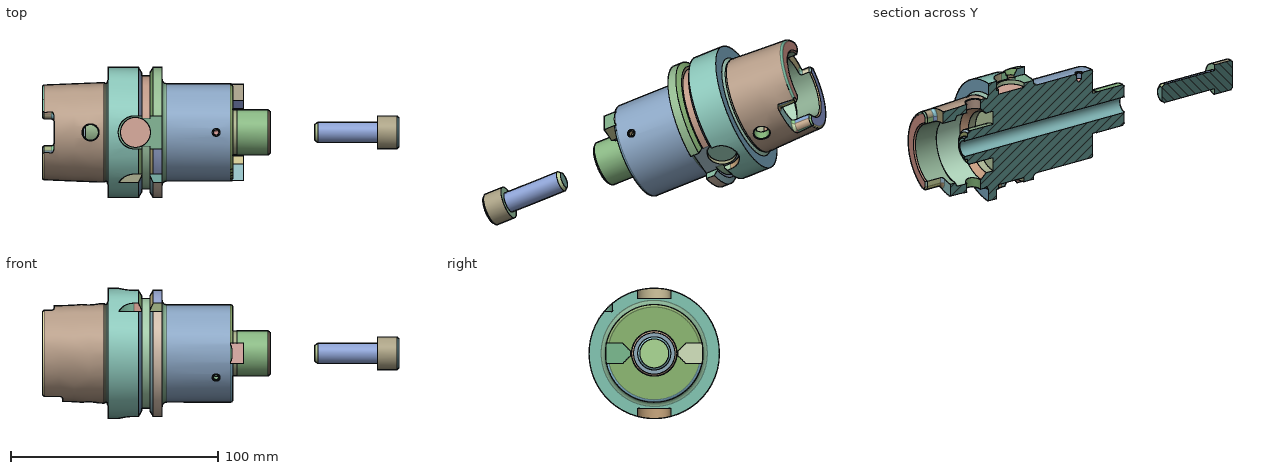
import cadquery as cq
import math

TOTAL_LENGTH = 172.0

SHANK_LENGTH = 31.6
SHANK_SMALL_RADIUS = 22.9
SHANK_LARGE_RADIUS = 24.0
SHANK_FILLET = 1.0
RELIEF_WIDTH = 1.9
RELIEF_DEPTH = 0.7
RELIEF_SHOULDER_RADIUS = 25.3
RELIEF_SHOULDER_LENGTH = 0.9

FLANGE_RADIUS = 31.5
FLANGE_LENGTH = 26.1
GROOVE_BOTTOM_RADIUS = 27.3
GROOVE_FLANK_RADIUS = 28.7
GROOVE_CENTER = 49.9
GROOVE_BOTTOM_WIDTH = 3.8
GROOVE_MOUTH_WIDTH = 7.0

BODY_RADIUS = 23.5
BODY_END = 91.8
BODY_FILLET = 2.0
BODY_END_FILLET = 1.2
PILOT_RADIUS = 11.0
PILOT_LENGTH = 18.0
PILOT_CHAMFER = 1.0
UNDERCUT_RADIUS = 10.8
UNDERCUT_WIDTH = 1.9

MOUTH_RADIUS = 17.4
BORE_RADIUS = 16.7
BORE_LENGTH = 12.7
CLAMP_ANGLE = 60.0
CLAMP_RADIUS = 18.7
CLAMP_END = 27.5
CAVITY_RADIUS = 15.8
CAVITY_DEPTH = 34.4

BOSS_RADIUS = 9.03
BOSS_END = 19.8
BOSS_CHAMFER = 1.0
BOSS_TIP_RADIUS = 6.0
BOSS_TIP_LENGTH = 1.7
BOSS_TIP_CHAMFER = 0.7
THROUGH_DIAMETER = 8.0

KEYWAY_HALF_WIDTH = 6.4
KEYWAY_SHOULDER = 20.8
KEYWAY_ROUND = 2.5
KEYWAY_FLOOR_FILLET = 1.4
KEYWAY_MOUTH_CHAMFER = 0.9
UPPER_KEYWAY_DEPTH = 5.7
LOWER_KEYWAY_DEPTH = 9.8

ACCESS_DIAMETER = 7.5
ACCESS_CHAMFER = 0.3
ACCESS_X = 23.2

SLOT_WIDTH = 16.0
SLOT_CENTER_X = 44.5
SLOT_FLOOR = 26.5
RECESS_DIAMETER = 14.5
RECESS_DEPTH = 2.2
RECESS_CENTER_X = 44.9

NOTCH_OFFSET = 20.1
NOTCH_CENTER_X = 44.2
NOTCH_CUTTER_RADIUS = 8.6

KEY_WIDTH = 10.0
KEY_HEIGHT = 5.2
KEY_OUTER = 23.2
KEY_TAPER_START = 15.3
KEY_INNER = 11.4

RADIAL_HOLE_X = 83.8
RADIAL_HOLE_MOUTH = 3.8
RADIAL_HOLE_MOUTH_DEPTH = 0.7
RADIAL_HOLE_DIAMETER = 2.5
RADIAL_HOLE_DEPTH = 3.5
RADIAL_HOLE_ANGLES = (0, 120, 240)

SCREW_START = 131.2
SCREW_DIAMETER = 10.0
SCREW_TIP_DIAMETER = 7.5
SCREW_TIP_LENGTH = 1.5
HEAD_DIAMETER = 16.0
HEAD_LENGTH = 10.5
HEAD_CHAMFER = 1.0

FLANGE_END = SHANK_LENGTH + FLANGE_LENGTH


def revolve_about_x(points):
    """Solid of revolution from (x, radius) points, closed along the X axis."""
    outline = [(points[0][0], 0), *points, (points[-1][0], 0)]
    return cq.Workplane("XY").polyline(outline).close().revolve(360, (0, 0, 0), (1, 0, 0))


def revolve_about_z(x, points):
    """Solid of revolution from (radius, z) points, closed along a Z axis at the given X."""
    outline = [*points, (0, points[-1][1])]
    return (
        cq.Workplane("XZ", origin=(x, 0, 0)).polyline(outline).close().revolve(360, (0, 0, 0), (0, 1, 0))
    )


def cylinder_along_z(diameter, x, z_bottom, height):
    return cq.Workplane("XY", origin=(x, 0, z_bottom)).circle(diameter / 2).extrude(height)


def box_about_x(x, reach, margin=0.2):
    """Selector for edges that lie at one X position and within the given reach of the X axis."""
    return cq.selectors.BoxSelector(
        (x - margin, -reach, -reach), (x + margin, reach, reach), boundingbox=True
    )


def ring_edge(x, radius, margin=0.2):
    """Selector for the circular edge of one radius about the X axis."""
    return box_about_x(x, radius + margin) - box_about_x(x, radius - margin)


def half_turn(shape):
    return shape.rotate((0, 0, 0), (1, 0, 0), 180)


def holder_blank():
    relief_start = SHANK_LENGTH - RELIEF_WIDTH
    relief_radius = SHANK_LARGE_RADIUS - RELIEF_DEPTH
    undercut_end = BODY_END + UNDERCUT_WIDTH
    pilot_end = BODY_END + PILOT_LENGTH
    blank = revolve_about_x([
        (0, SHANK_SMALL_RADIUS),
        (relief_start, SHANK_LARGE_RADIUS),
        (SHANK_LENGTH - RELIEF_SHOULDER_LENGTH, relief_radius),
        (SHANK_LENGTH, RELIEF_SHOULDER_RADIUS),
        (SHANK_LENGTH, FLANGE_RADIUS),
        (GROOVE_CENTER - GROOVE_MOUTH_WIDTH / 2, FLANGE_RADIUS),
        (GROOVE_CENTER - GROOVE_BOTTOM_WIDTH / 2, GROOVE_FLANK_RADIUS),
        (GROOVE_CENTER - GROOVE_BOTTOM_WIDTH / 2, GROOVE_BOTTOM_RADIUS),
        (GROOVE_CENTER + GROOVE_BOTTOM_WIDTH / 2, GROOVE_BOTTOM_RADIUS),
        (GROOVE_CENTER + GROOVE_BOTTOM_WIDTH / 2, GROOVE_FLANK_RADIUS),
        (GROOVE_CENTER + GROOVE_MOUTH_WIDTH / 2, FLANGE_RADIUS),
        (FLANGE_END, FLANGE_RADIUS),
        (FLANGE_END, BODY_RADIUS),
        (BODY_END, BODY_RADIUS),
        (BODY_END, UNDERCUT_RADIUS),
        (undercut_end, UNDERCUT_RADIUS),
        (undercut_end + PILOT_RADIUS - UNDERCUT_RADIUS, PILOT_RADIUS),
        (pilot_end - PILOT_CHAMFER, PILOT_RADIUS),
        (pilot_end, PILOT_RADIUS - PILOT_CHAMFER),
    ])
    blank = blank.edges(ring_edge(FLANGE_END, BODY_RADIUS)).fillet(BODY_FILLET)
    blank = blank.edges(ring_edge(BODY_END, BODY_RADIUS)).fillet(BODY_END_FILLET)
    return blank.edges(ring_edge(0, SHANK_SMALL_RADIUS)).fillet(SHANK_FILLET)


def clamping_cavity():
    mouth_length = MOUTH_RADIUS - BORE_RADIUS
    clamp_length = (CLAMP_RADIUS - BORE_RADIUS) / math.tan(math.radians(CLAMP_ANGLE))
    cavity = revolve_about_x([
        (0, MOUTH_RADIUS),
        (mouth_length, BORE_RADIUS),
        (BORE_LENGTH, BORE_RADIUS),
        (BORE_LENGTH + clamp_length, CLAMP_RADIUS),
        (CLAMP_END, CLAMP_RADIUS),
        (CLAMP_END + CLAMP_RADIUS - CAVITY_RADIUS, CAVITY_RADIUS),
        (CAVITY_DEPTH, CAVITY_RADIUS),
    ])
    boss = revolve_about_x([
        (BOSS_END - BOSS_TIP_LENGTH, BOSS_TIP_RADIUS - BOSS_TIP_CHAMFER),
        (BOSS_END - BOSS_TIP_LENGTH + BOSS_TIP_CHAMFER, BOSS_TIP_RADIUS),
        (BOSS_END, BOSS_TIP_RADIUS),
        (BOSS_END, BOSS_RADIUS - BOSS_CHAMFER),
        (BOSS_END + BOSS_CHAMFER, BOSS_RADIUS),
        (CAVITY_DEPTH, BOSS_RADIUS),
    ])
    return cavity.cut(boss)


def keyway_outline():
    """Slot section with rounded upper edges that open onto flat shoulders, on the +Z side."""
    inner = BORE_RADIUS / 2
    outer = FLANGE_RADIUS
    side = SHANK_SMALL_RADIUS
    round_start = KEYWAY_SHOULDER - KEYWAY_ROUND
    shoulder_start = KEYWAY_HALF_WIDTH + KEYWAY_ROUND
    bulge = KEYWAY_ROUND * (1 - math.sqrt(0.5))
    return (
        cq.Workplane("YZ")
        .moveTo(-KEYWAY_HALF_WIDTH, inner)
        .lineTo(KEYWAY_HALF_WIDTH, inner)
        .lineTo(KEYWAY_HALF_WIDTH, round_start)
        .threePointArc((KEYWAY_HALF_WIDTH + bulge, KEYWAY_SHOULDER - bulge), (shoulder_start, KEYWAY_SHOULDER))
        .lineTo(side, KEYWAY_SHOULDER)
        .lineTo(side, outer)
        .lineTo(-side, outer)
        .lineTo(-side, KEYWAY_SHOULDER)
        .lineTo(-shoulder_start, KEYWAY_SHOULDER)
        .threePointArc((-KEYWAY_HALF_WIDTH - bulge, KEYWAY_SHOULDER - bulge), (-KEYWAY_HALF_WIDTH, round_start))
        .close()
    )


def keyway(depth):
    """Slot with a filleted floor and a chamfered mouth at the small end."""
    slot = keyway_outline().extrude(depth).faces(">X").edges().fillet(KEYWAY_FLOOR_FILLET)
    flared_mouth = keyway_outline().offset2D(KEYWAY_MOUTH_CHAMFER).extrude(KEYWAY_MOUTH_CHAMFER, taper=45)
    return slot.union(flared_mouth)


def cut_access_holes(holder):
    """Cut a hole through the shank wall at +Z and at -Z and chamfer both outer rims."""
    hole = cylinder_along_z(ACCESS_DIAMETER, ACCESS_X, CAVITY_RADIUS, FLANGE_RADIUS - CAVITY_RADIUS)
    holder = holder.cut(hole).cut(half_turn(hole))
    reach = ACCESS_DIAMETER
    wall_middle = (CLAMP_RADIUS + SHANK_LARGE_RADIUS) / 2
    for low, high in ((wall_middle, FLANGE_RADIUS), (-FLANGE_RADIUS, -wall_middle)):
        rim = cq.selectors.BoxSelector(
            (ACCESS_X - reach, -reach, low), (ACCESS_X + reach, reach, high), boundingbox=True
        )
        holder = holder.edges(rim).chamfer(ACCESS_CHAMFER)
    return holder


def driving_slot():
    """Round-ended slot open to the back of the flange, with a shallow round recess."""
    height = FLANGE_RADIUS - SLOT_FLOOR
    length = FLANGE_END - SLOT_CENTER_X
    channel = (
        cq.Workplane("XY", origin=(SLOT_CENTER_X, 0, SLOT_FLOOR))
        .rect(length, SLOT_WIDTH, centered=(False, True))
        .extrude(height)
    )
    rounded_end = cylinder_along_z(SLOT_WIDTH, SLOT_CENTER_X, SLOT_FLOOR, height)
    recess = cylinder_along_z(
        RECESS_DIAMETER, RECESS_CENTER_X, SLOT_FLOOR - RECESS_DEPTH, RECESS_DEPTH
    )
    return channel.union(rounded_end).union(recess)


def rim_notch():
    """Square-cornered notch at the -Y+Z side; its front end has the milling cutter's radius."""
    height = FLANGE_RADIUS - NOTCH_OFFSET
    cutter_y = -NOTCH_OFFSET - NOTCH_CUTTER_RADIUS
    start = cq.Workplane("XY", origin=(NOTCH_CENTER_X, cutter_y, NOTCH_OFFSET))
    rounded_end = start.circle(NOTCH_CUTTER_RADIUS).extrude(height)
    run = (
        start.rect(FLANGE_END - NOTCH_CENTER_X, 2 * NOTCH_CUTTER_RADIUS, centered=(False, True))
        .extrude(height)
    )
    return run.union(rounded_end)


def drive_key():
    """Key on the -Y side of the body face, narrowing to a ridge toward the pilot."""
    taper = KEY_TAPER_START - KEY_INNER
    half = KEY_WIDTH / 2
    start = BODY_END - BODY_END_FILLET
    return (
        cq.Workplane("YZ", origin=(start, 0, 0))
        .polyline([
            (-KEY_OUTER, -half),
            (-KEY_TAPER_START, -half),
            (-KEY_INNER, taper - half),
            (-KEY_INNER, half - taper),
            (-KEY_TAPER_START, half),
            (-KEY_OUTER, half),
        ])
        .close()
        .extrude(KEY_HEIGHT + BODY_END_FILLET)
    )


def radial_hole():
    """Counterbored blind hole with a drill point, on the +Z side of the body."""
    radius = RADIAL_HOLE_DIAMETER / 2
    mouth = RADIAL_HOLE_MOUTH / 2
    shoulder = BODY_RADIUS - RADIAL_HOLE_MOUTH_DEPTH
    floor = BODY_RADIUS - RADIAL_HOLE_DEPTH
    return revolve_about_z(RADIAL_HOLE_X, [
        (0, floor - radius),
        (radius, floor),
        (radius, shoulder),
        (mouth, shoulder),
        (mouth, BODY_RADIUS),
    ])


def make_holder():
    holder = holder_blank().cut(clamping_cavity())
    through_hole = cq.Workplane("YZ").circle(THROUGH_DIAMETER / 2).extrude(BODY_END + PILOT_LENGTH)
    holder = holder.cut(through_hole)
    holder = holder.cut(keyway(UPPER_KEYWAY_DEPTH)).cut(half_turn(keyway(LOWER_KEYWAY_DEPTH)))
    holder = cut_access_holes(holder)
    holder = holder.cut(driving_slot()).cut(half_turn(driving_slot())).cut(rim_notch())
    for angle in RADIAL_HOLE_ANGLES:
        holder = holder.cut(radial_hole().rotate((0, 0, 0), (1, 0, 0), angle))
    return holder.union(drive_key()).union(half_turn(drive_key()))


def make_screw():
    head_start = TOTAL_LENGTH - HEAD_LENGTH
    return revolve_about_x([
        (SCREW_START, SCREW_TIP_DIAMETER / 2),
        (SCREW_START + SCREW_TIP_LENGTH, SCREW_DIAMETER / 2),
        (head_start, SCREW_DIAMETER / 2),
        (head_start, HEAD_DIAMETER / 2),
        (TOTAL_LENGTH - HEAD_CHAMFER, HEAD_DIAMETER / 2),
        (TOTAL_LENGTH, HEAD_DIAMETER / 2 - HEAD_CHAMFER),
    ])


holder = make_holder()
screw = make_screw()
result = cq.Compound.makeCompound([holder.val(), screw.val()])